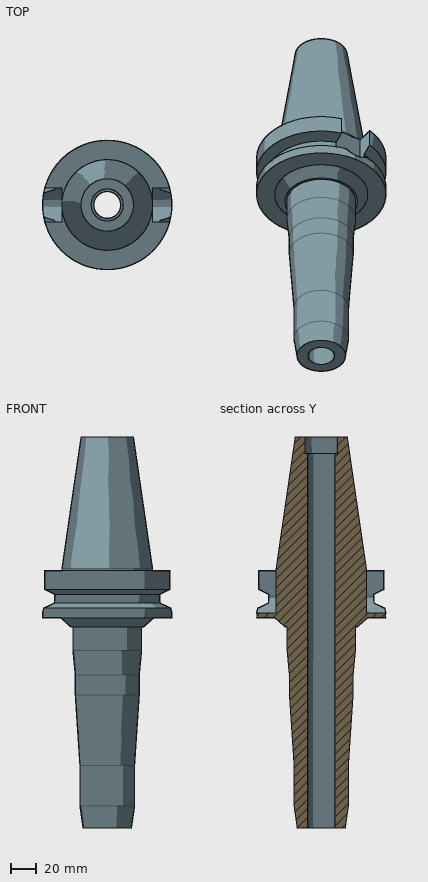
import cadquery as cq

total_height = 301.8
nose_taper_top = 17.2
nose_cylinder_top = 48.3
long_taper_top = 102.5
body_cylinder_top = 118.0
short_taper_top = 137.0
neck_top = 155.0
flange_bottom = 162.0
lower_rim_top = 169.5
groove_floor_bottom = 173.5
groove_floor_top = 180.2
upper_rim_bottom = 184.0
flange_top = 198.5
shank_base = 200.0

nose_tip_radius = 18.7
nose_radius = 21.0
body_radius = 24.7
neck_radius = 26.5
collar_bottom_radius = 28.0
collar_top_radius = 36.0
flange_radius = 100.0 / 2
groove_radius = 42.5
shank_base_radius = 35.0
shank_top_radius = 20.2

bore_radius = 10.3
counterbore_radius = 12.5
counterbore_depth = 12.7

slot_width = 26.0
slot_floor_x = 35.0
slot_bottom = 166.0


def make_body():
    """Revolve the half profile, listed as (radius, height), about Z."""
    profile = [
        (0, 0),
        (nose_tip_radius, 0),
        (nose_radius, nose_taper_top),
        (nose_radius, nose_cylinder_top),
        (body_radius, long_taper_top),
        (body_radius, body_cylinder_top),
        (neck_radius, short_taper_top),
        (neck_radius, neck_top),
        (collar_bottom_radius, neck_top),
        (collar_top_radius, flange_bottom),
        (flange_radius, flange_bottom),
        (flange_radius, lower_rim_top),
        (groove_radius, groove_floor_bottom),
        (groove_radius, groove_floor_top),
        (flange_radius, upper_rim_bottom),
        (flange_radius, flange_top),
        (shank_base_radius, flange_top),
        (shank_base_radius, shank_base),
        (shank_top_radius, total_height),
        (0, total_height),
    ]
    return cq.Workplane("XZ").polyline(profile).close().revolve(360, (0, 0), (0, 1))


def make_bore():
    """Through bore with a counterbore at the shank end."""
    bore = cq.Workplane("XY").circle(bore_radius).extrude(total_height)
    counterbore = (
        cq.Workplane("XY", origin=(0, 0, total_height - counterbore_depth))
        .circle(counterbore_radius)
        .extrude(counterbore_depth)
    )
    return bore.union(counterbore)


def make_drive_slot(side):
    """Round-bottomed slot, open at the top and outside; side is +1 or -1 along X."""
    half_width = slot_width / 2
    arc_center_height = slot_bottom + half_width
    return (
        cq.Workplane("YZ", origin=(side * slot_floor_x, 0, 0))
        .moveTo(-half_width, flange_top)
        .lineTo(-half_width, arc_center_height)
        .threePointArc((0, slot_bottom), (half_width, arc_center_height))
        .lineTo(half_width, flange_top)
        .close()
        .extrude(side * flange_radius)
    )


result = make_body().cut(make_bore())
for side in (-1, 1):
    result = result.cut(make_drive_slot(side))